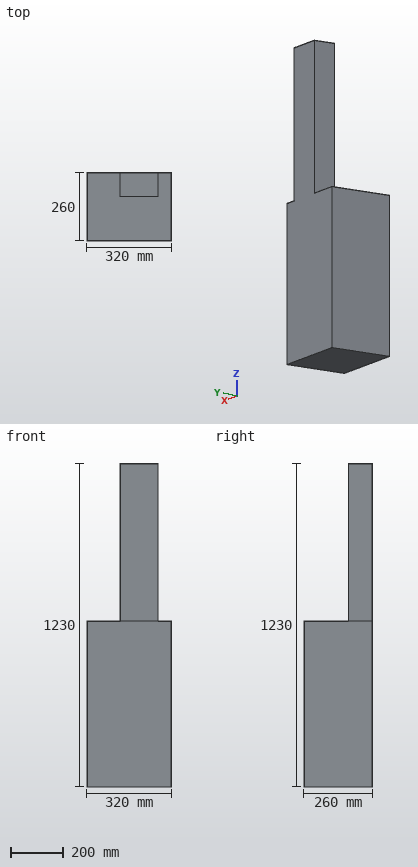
import cadquery as cq

total_height = 1230.0

base_width = 320.0
base_depth = 260.0
base_height = 631.0

post_width = 144.0
post_depth = 91.0
post_left_offset = 125.0
post_height = total_height - base_height


def corner_box(width, depth, height):
    """Box with its minimum corner at the origin."""
    return cq.Workplane("XY").box(width, depth, height, centered=False)


base = corner_box(base_width, base_depth, base_height)
post = corner_box(post_width, post_depth, post_height).translate(
    (post_left_offset, base_depth - post_depth, base_height)
)

result = base.union(post)